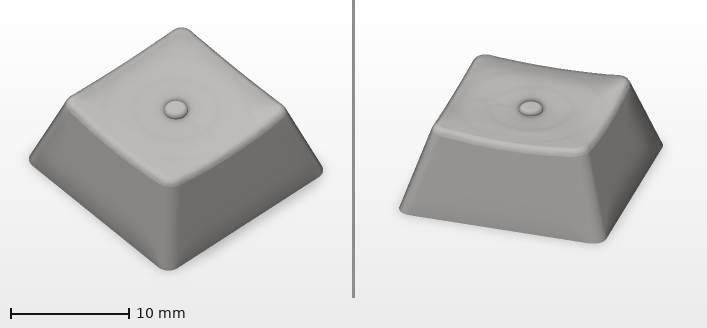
import cadquery as cq

base_width = 18.3
draft_angle = 17.6
corner_radius = 1.25
blank_height = 9.15

dish_radius = 46.48
dish_floor = 6.55
rim_radius = 0.68

dot_diameter = 2.03
dot_height = 0.42
dot_edge_radius = 0.4
dot_embed = 0.37


def tapered_body():
    """Square frustum with its four sloping corner edges rounded."""
    frustum = cq.Workplane("XY").rect(base_width, base_width).extrude(blank_height, taper=draft_angle)
    sloping_edges = frustum.edges("not(#Z)")
    return sloping_edges.fillet(corner_radius)


def dished_body():
    """Tapered body cut by a sphere, with the resulting rim rounded."""
    dish = cq.Workplane("XY").sphere(dish_radius).translate((0, 0, dish_floor + dish_radius))
    body = tapered_body().cut(dish)
    return body.faces("%SPHERE").edges().fillet(rim_radius)


def centre_dot():
    """Short round dot rising from the dish floor, with a rounded top edge."""
    dot = (
        cq.Workplane("XY", origin=(0, 0, dish_floor - dot_embed))
        .circle(dot_diameter / 2)
        .extrude(dot_embed + dot_height)
    )
    return dot.faces(">Z").edges().fillet(dot_edge_radius)


result = dished_body().union(centre_dot())